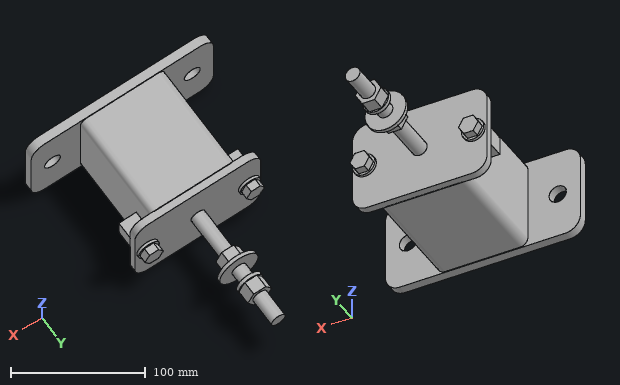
import cadquery as cq
import math

plate_height = 77.7
plate_corner_radius = 12.7
base_width = 165.1
base_thickness = 8.0
base_hole_diameter = 14.4
base_hole_offset = 63.3

body_side = 76.2
body_length = 91.8
body_corner_radius = 6.3

cover_width = 114.0
cover_thickness = 6.5

lug_side = 15.8
lug_length = 19.0
bolt_washer_diameter = 18.8
bolt_washer_thickness = 2.3
bolt_head_across_flats = 14.4
bolt_head_height = 6.8

total_length = 211.1
rod_diameter = 12.7
nut_across_flats = 19.0
nut_height = 11.6
washer_thickness = 3.2
small_washer_diameter = 22.2
large_washer_diameter = 34.8
inner_nut_start = 145.0
outer_nut_end = 186.9

body_end = base_thickness + body_length
cover_end = body_end + cover_thickness
lug_offset = (body_side + lug_side) / 2


def section(start):
    """Workplane at Y = start, with local X along X and its normal along -Y."""
    return cq.Workplane("XZ", origin=(0, start, 0))


def rounded_block(start, length, width, height, radius):
    return section(start).rect(width, height).extrude(-length).edges("|Y").fillet(radius)


def disc(start, length, diameter, x=0):
    return section(start).center(x, 0).circle(diameter / 2).extrude(-length)


def hexagon(start, length, across_flats, x=0):
    """Hexagonal prism with flats facing up and down."""
    across_corners = across_flats / math.cos(math.pi / 6)
    return section(start).center(x, 0).polygon(6, across_corners).extrude(-length)


def mounting_plate():
    plate = rounded_block(0, base_thickness, base_width, plate_height, plate_corner_radius)
    for side in (-1, 1):
        plate = plate.cut(disc(0, base_thickness, base_hole_diameter, side * base_hole_offset))
    return plate


def housing():
    body = rounded_block(base_thickness, body_length, body_side, body_side, body_corner_radius)
    cover = rounded_block(body_end, cover_thickness, cover_width, plate_height, plate_corner_radius)
    return body.union(cover)


def lug_and_bolt(x):
    lug = section(body_end - lug_length).center(x, 0).rect(lug_side, lug_side).extrude(-lug_length)
    washer = disc(cover_end, bolt_washer_thickness, bolt_washer_diameter, x)
    head_start = cover_end + bolt_washer_thickness
    head = hexagon(head_start, bolt_head_height, bolt_head_across_flats, x)
    return lug, washer, head


def rod_assembly():
    rod = disc(cover_end, total_length - cover_end, rod_diameter)
    inner_nut = hexagon(inner_nut_start, nut_height, nut_across_flats)
    large_washer = disc(inner_nut_start + nut_height, washer_thickness, large_washer_diameter)
    outer_nut_start = outer_nut_end - nut_height
    outer_nut = hexagon(outer_nut_start, nut_height, nut_across_flats)
    small_washer = disc(outer_nut_start - washer_thickness, washer_thickness, small_washer_diameter)
    return rod.union(inner_nut).union(large_washer).union(outer_nut).union(small_washer)


result = mounting_plate().union(housing()).union(rod_assembly())
for side in (-1, 1):
    for piece in lug_and_bolt(side * lug_offset):
        result = result.union(piece)